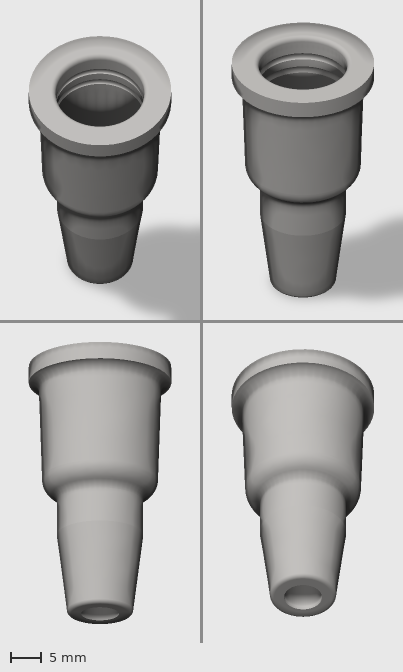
import cadquery as cq
import math

height = 43.2
flange_radius = 11.68
flange_thickness = 2.85
flange_fillet = 1.45
body_top_radius = 10.0
body_bottom_radius = 9.5
body_bottom_z = 23.4

shoulder_round = 2.9
shoulder_fillet = 1.5
neck_radius = 7.1
neck_bottom_z = 13.7
tip_radius = 5.45
tip_round = 0.7

mouth_round = 0.78
socket_radius = 7.25
groove_radius = 0.6
groove_depths = (3.65, 6.3)
socket_floor_z = 20.95
socket_bottom_radius = 6.65
floor_fillet = 1.45
bore_radius = 3.1
bore_round = 1.55

shoulder_turn = math.acos(1 - (body_bottom_radius - neck_radius) / (shoulder_round + shoulder_fillet))
half_turn = shoulder_turn / 2
shoulder_join = (
    body_bottom_radius - shoulder_round * (1 - math.cos(shoulder_turn)),
    body_bottom_z - shoulder_round * math.sin(shoulder_turn),
)
neck_top_z = shoulder_join[1] - shoulder_fillet * math.sin(shoulder_turn)
shoulder_round_mid = (
    body_bottom_radius - shoulder_round * (1 - math.cos(half_turn)),
    body_bottom_z - shoulder_round * math.sin(half_turn),
)
shoulder_fillet_mid = (
    neck_radius + shoulder_fillet * (1 - math.cos(half_turn)),
    neck_top_z + shoulder_fillet * math.sin(half_turn),
)


def revolve(profile):
    """Turn a closed radius-height profile about the Z axis."""
    return profile.close().revolve(360, (0, 0, 0), (0, 1, 0))


def quarter_mid(corner, radius, toward_x, toward_z):
    """Midpoint of a quarter arc rounding a square corner; signs point to its centre."""
    offset = radius * (1 - math.sqrt(0.5))
    return (corner[0] + toward_x * offset, corner[1] + toward_z * offset)


def outer_body():
    flange_bottom_z = height - flange_thickness
    flange_corner = (body_top_radius, flange_bottom_z)
    tip_corner = (tip_radius, 0)
    return revolve(
        cq.Workplane("XZ")
        .moveTo(0, height)
        .lineTo(flange_radius, height)
        .lineTo(flange_radius, flange_bottom_z)
        .lineTo(body_top_radius + flange_fillet, flange_bottom_z)
        .threePointArc(
            quarter_mid(flange_corner, flange_fillet, 1, -1),
            (body_top_radius, flange_bottom_z - flange_fillet),
        )
        .lineTo(body_bottom_radius, body_bottom_z)
        .threePointArc(shoulder_round_mid, shoulder_join)
        .threePointArc(shoulder_fillet_mid, (neck_radius, neck_top_z))
        .lineTo(neck_radius, neck_bottom_z)
        .lineTo(tip_radius, tip_round)
        .threePointArc(quarter_mid(tip_corner, tip_round, -1, 1), (tip_radius - tip_round, 0))
        .lineTo(0, 0)
    )


def stepped_bore():
    taper_top_z = height - groove_depths[-1] - groove_radius
    return revolve(
        cq.Workplane("XZ")
        .moveTo(0, height)
        .lineTo(socket_radius + mouth_round, height)
        .threePointArc(
            quarter_mid((socket_radius, height), mouth_round, 1, -1),
            (socket_radius, height - mouth_round),
        )
        .lineTo(socket_radius, taper_top_z)
        .lineTo(socket_bottom_radius, socket_floor_z + floor_fillet)
        .threePointArc(
            quarter_mid((socket_bottom_radius, socket_floor_z), floor_fillet, -1, 1),
            (socket_bottom_radius - floor_fillet, socket_floor_z),
        )
        .lineTo(bore_radius + bore_round, socket_floor_z)
        .threePointArc(
            quarter_mid((bore_radius, socket_floor_z), bore_round, 1, -1),
            (bore_radius, socket_floor_z - bore_round),
        )
        .lineTo(bore_radius, 0)
        .lineTo(0, 0)
    )


def half_round_groove(depth):
    """Ring whose outer half cuts a half-round groove into the socket wall."""
    section = cq.Workplane("XZ").center(socket_radius, height - depth).circle(groove_radius)
    return section.revolve(360, (-socket_radius, 0, 0), (-socket_radius, 1, 0))


result = outer_body().cut(stepped_bore())
for groove_depth in groove_depths:
    result = result.cut(half_round_groove(groove_depth))